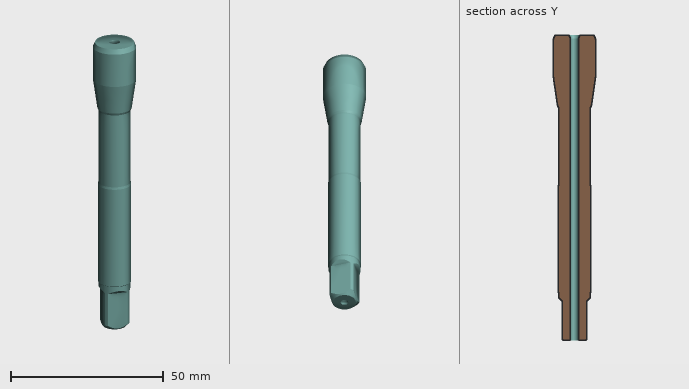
import cadquery as cq

length = 100.0
tang_chamfer_height = 1.6
flat_top = 12.9
shank_bottom = 15.6
shank_chamfer = 0.2
shank_top = 50.0
neck_bottom = 50.8
neck_top = 76.2
taper_bottom = 77.0
head_bottom = 87.0
head_chamfer_height = 1.6

tang_diameter = 10.5
tang_end_diameter = 7.4
shank_diameter = 10.9
neck_diameter = 10.6
taper_small_diameter = 11.3
head_diameter = 14.2
head_face_diameter = 12.8
bore_diameter = 2.5
countersink_diameter = 3.5

across_flats = 8.2
countersink_depth = 1.1


def turned_body():
    """Revolve the stepped outline around the Z axis."""
    outline = [
        (0, 0),
        (tang_end_diameter / 2, 0),
        (tang_diameter / 2, tang_chamfer_height),
        (tang_diameter / 2, shank_bottom),
        (shank_diameter / 2, shank_bottom + shank_chamfer),
        (shank_diameter / 2, shank_top),
        (neck_diameter / 2, neck_bottom),
        (neck_diameter / 2, neck_top),
        (taper_small_diameter / 2, taper_bottom),
        (head_diameter / 2, head_bottom),
        (head_diameter / 2, length - head_chamfer_height),
        (head_face_diameter / 2, length),
        (0, length),
    ]
    return cq.Workplane("XZ").polyline(outline).close().revolve(360, (0, 0), (0, 1))


def flat_cutter():
    """Remove one side of the square, with a 45 degree run-out at its top."""
    inner = across_flats / 2
    outer = shank_diameter / 2
    runout_top = flat_top + outer - inner
    return (
        cq.Workplane("XZ")
        .polyline([(inner, 0), (outer, 0), (outer, runout_top), (inner, flat_top)])
        .close()
        .extrude(tang_diameter, both=True)
    )


def bore():
    """Through hole along the axis, countersunk at the head face."""
    outline = [
        (0, 0),
        (bore_diameter / 2, 0),
        (bore_diameter / 2, length - countersink_depth),
        (countersink_diameter / 2, length),
        (0, length),
    ]
    return cq.Workplane("XZ").polyline(outline).close().revolve(360, (0, 0), (0, 1))


result = turned_body()
for side in range(4):
    result = result.cut(flat_cutter().rotate((0, 0, 0), (0, 0, 1), 90 * side))
result = result.cut(bore())